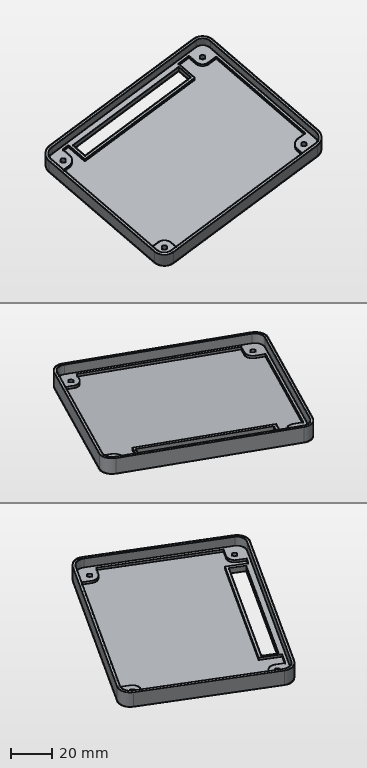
import cadquery as cq

LENGTH_X = 88.01
LENGTH_Y = 108.0
HEIGHT = 9.0
CORNER_RADIUS = 6.5

RIM_THICKNESS = 1.45
LEDGE_WIDTH = 1.55
FLOOR_THICKNESS = 2.0
LEDGE_HEIGHT = 3.5

HOLE_DIAMETER = 2.69
HOLE_SPACING_X = 72.0
HOLE_SPACING_Y = 92.0
BOSS_RADIUS = 4.345

SLOT_WIDTH = 8.6
SLOT_LENGTH = 69.8
SLOT_FRAME_SIDE = 1.6
SLOT_FRAME_END = 1.2
SLOT_TO_EDGE_X = 4.5
SLOT_TO_EDGE_Y = 17.7

LEDGE_INSET = RIM_THICKNESS + LEDGE_WIDTH
INNER_RADIUS = CORNER_RADIUS - RIM_THICKNESS
SLOT_MIN_X = -LENGTH_X / 2 + SLOT_TO_EDGE_X
SLOT_MAX_X = SLOT_MIN_X + SLOT_WIDTH
SLOT_MIN_Y = -LENGTH_Y / 2 + SLOT_TO_EDGE_Y
SLOT_MAX_Y = SLOT_MIN_Y + SLOT_LENGTH
CORNER_SIGNS = [(sx, sy) for sx in (-1, 1) for sy in (-1, 1)]


def block(min_x, max_x, min_y, max_y, bottom, top):
    """Axis-aligned box given by its limits."""
    size = (max_x - min_x, max_y - min_y, top - bottom)
    return cq.Workplane("XY").box(*size, centered=False).translate((min_x, min_y, bottom))


def centred_block(inset, bottom, top):
    """Box on the tray centre, inset equally from all four outer sides."""
    half_x = LENGTH_X / 2 - inset
    half_y = LENGTH_Y / 2 - inset
    return block(-half_x, half_x, -half_y, half_y, bottom, top)


def corner_boss(sign_x, sign_y):
    """Boss filling one corner of the ledge, rounded about its screw hole."""
    hole_x = sign_x * HOLE_SPACING_X / 2
    hole_y = sign_y * HOLE_SPACING_Y / 2
    corner_x = sign_x * (LENGTH_X / 2 - LEDGE_INSET)
    corner_y = sign_y * (LENGTH_Y / 2 - LEDGE_INSET)
    inner_x = hole_x - sign_x * BOSS_RADIUS
    inner_y = hole_y - sign_y * BOSS_RADIUS
    min_x, max_x = sorted((inner_x, corner_x))
    min_y, max_y = sorted((inner_y, corner_y))
    boss = block(min_x, max_x, min_y, max_y, FLOOR_THICKNESS, LEDGE_HEIGHT)
    mid_height = (FLOOR_THICKNESS + LEDGE_HEIGHT) / 2
    inner_edge = cq.NearestToPointSelector((inner_x, inner_y, mid_height))
    return boss.edges("|Z").edges(inner_edge).fillet(BOSS_RADIUS)


def slot_frame():
    """Raised land around the slot, joined to the ledge on the -X side."""
    return block(
        -LENGTH_X / 2 + LEDGE_INSET,
        SLOT_MAX_X + SLOT_FRAME_SIDE,
        SLOT_MIN_Y - SLOT_FRAME_SIDE,
        SLOT_MAX_Y + SLOT_FRAME_END,
        FLOOR_THICKNESS,
        LEDGE_HEIGHT,
    )


def tray_recess():
    """Sunken floor area, leaving the ledge, bosses and slot frame standing."""
    recess = centred_block(LEDGE_INSET, FLOOR_THICKNESS, LEDGE_HEIGHT)
    for sign_x, sign_y in CORNER_SIGNS:
        recess = recess.cut(corner_boss(sign_x, sign_y))
    return recess.cut(slot_frame())


def screw_holes():
    """Through holes at the four bosses."""
    return (
        cq.Workplane("XY")
        .rect(HOLE_SPACING_X, HOLE_SPACING_Y, forConstruction=True)
        .vertices()
        .circle(HOLE_DIAMETER / 2)
        .extrude(HEIGHT)
    )


body = centred_block(0, 0, HEIGHT).edges("|Z").fillet(CORNER_RADIUS)
cavity = centred_block(RIM_THICKNESS, LEDGE_HEIGHT, HEIGHT).edges("|Z").fillet(INNER_RADIUS)
slot = block(SLOT_MIN_X, SLOT_MAX_X, SLOT_MIN_Y, SLOT_MAX_Y, 0, HEIGHT)

result = body.cut(cavity).cut(tray_recess()).cut(slot).cut(screw_holes())